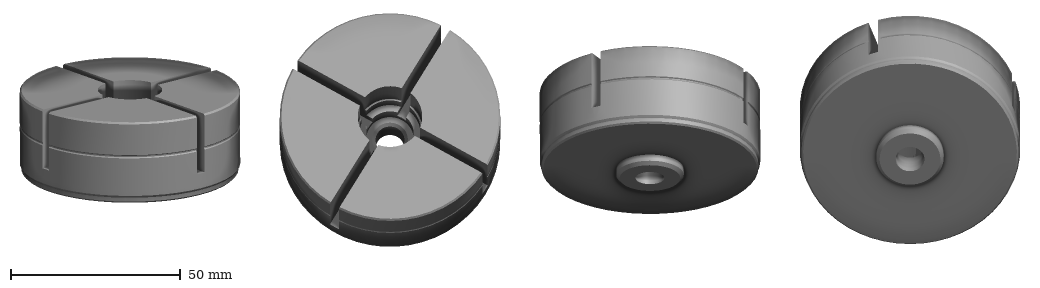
import cadquery as cq

disc_radius = 32.5
disc_height = 25.0
top_chamfer = 0.5

groove_top_depth = 10.0
groove_width = 1.0
groove_depth = 0.3

shoulder_top_depth = 22.6
shoulder_height = 0.7
step_radius = 32.0
step_chamfer = 0.5

spigot_radius = 9.95
spigot_height = 3.0
spigot_chamfer = 1.0

bore_radius = 9.5
bore_depth = 11.0
ledge_radius = 9.0
ledge_depth = 15.0
seat_radius = 7.0
seat_depth = 20.0
through_radius = 4.25
countersink_width = 1.0
countersink_depth = 0.6

slot_width = 3.0
slot_depth = 18.0
slot_count = 2

total_height = disc_height + spigot_height


def make_body():
    """Revolve the outer profile of the disc and the spigot."""
    groove_bottom_depth = groove_top_depth + groove_width
    groove_radius = disc_radius - groove_depth
    profile = [
        (0, 0),
        (disc_radius - top_chamfer, 0),
        (disc_radius, -top_chamfer),
        (disc_radius, -groove_top_depth),
        (groove_radius, -groove_top_depth - groove_depth),
        (groove_radius, -groove_bottom_depth + groove_depth),
        (disc_radius, -groove_bottom_depth),
        (disc_radius, -shoulder_top_depth),
        (step_radius, -shoulder_top_depth - shoulder_height),
        (step_radius, -disc_height + step_chamfer),
        (step_radius - step_chamfer, -disc_height),
        (spigot_radius, -disc_height),
        (spigot_radius, -total_height + spigot_chamfer),
        (spigot_radius - spigot_chamfer, -total_height),
        (0, -total_height),
    ]
    return cq.Workplane("XZ").polyline(profile).close().revolve(360, (0, 0), (0, 1))


def make_bore():
    """Revolve the stepped bore, countersunk where the through hole starts."""
    profile = [
        (0, 0),
        (bore_radius, 0),
        (bore_radius, -bore_depth),
        (ledge_radius, -bore_depth),
        (ledge_radius, -ledge_depth),
        (seat_radius, -ledge_depth),
        (seat_radius, -seat_depth),
        (through_radius + countersink_width, -seat_depth),
        (through_radius, -seat_depth - countersink_depth),
        (through_radius, -total_height),
        (0, -total_height),
    ]
    return cq.Workplane("XZ").polyline(profile).close().revolve(360, (0, 0), (0, 1))


def make_slot(angle):
    """Straight slot across the full diameter, turned about Z by the angle."""
    slot = cq.Workplane("XY").rect(2 * disc_radius, slot_width).extrude(-slot_depth)
    return slot.rotate((0, 0, 0), (0, 0, 1), angle)


result = make_body().cut(make_bore())
for index in range(slot_count):
    result = result.cut(make_slot(index * 180 / slot_count))